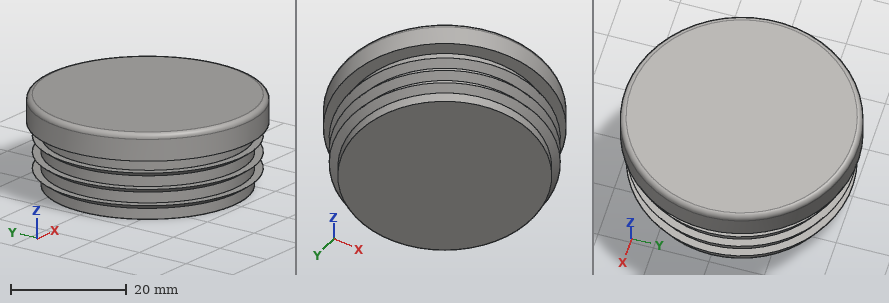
import cadquery as cq

cap_diameter = 42
total_height = 16.5

cap_thickness = 5.0
rim_radius = 1.0

plug_diameter = 37.0

ring_diameter = 40.0
ring_height = 1.0
ring_count = 3
ring_pitch = 3.0
lowest_ring_base = 2.0


def make_cap():
    cap = cq.Workplane("XY").workplane(offset=total_height - cap_thickness)
    cap = cap.circle(cap_diameter / 2).extrude(cap_thickness)
    return cap.faces(">Z").edges().fillet(rim_radius)


def make_plug():
    return cq.Workplane("XY").circle(plug_diameter / 2).extrude(total_height - cap_thickness)


def make_ring(base_z):
    """Conical disc whose widest edge is at its flat top."""
    top_z = base_z + ring_height
    profile = [
        (0, base_z),
        (plug_diameter / 2, base_z),
        (ring_diameter / 2, top_z),
        (0, top_z),
    ]
    return cq.Workplane("XZ").polyline(profile).close().revolve(360, (0, 0), (0, 1))


result = make_cap().union(make_plug())
for index in range(ring_count):
    result = result.union(make_ring(lowest_ring_base + index * ring_pitch))